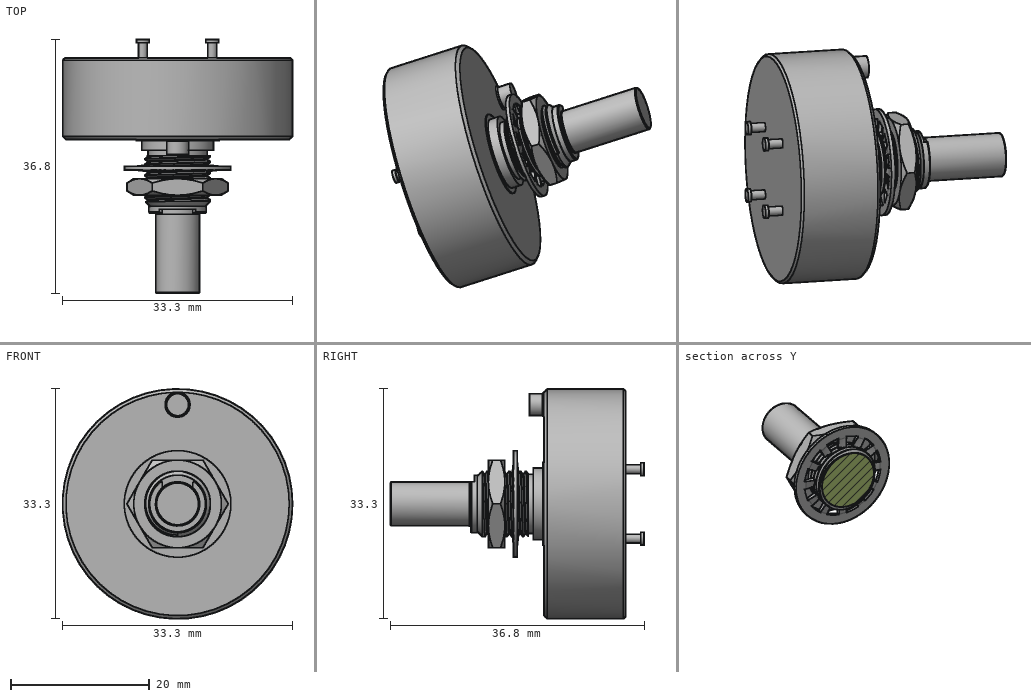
import cadquery as cq
import math


OVERALL_LENGTH = 36.75

HOUSING_RADIUS = 33.32 / 2
HOUSING_DEPTH = 11.85
FRONT_CHAMFER = 0.5
REAR_CHAMFER = 0.35

TERMINAL_OFFSET = 5.02
TERMINAL_LENGTH = 2.65
TERMINAL_RADIUS = 0.66
TERMINAL_HEAD_RADIUS = 0.95
TERMINAL_HEAD_LENGTH = 0.5

PIN_OFFSET = 14.36
PIN_RADIUS = 3.175 / 2
PIN_LENGTH = 2.1
PIN_FLARE = 0.22

SEAT_RADIUS = 6.0
SEAT_TOP = 0.14
COLLAR_RADIUS = 5.22
COLLAR_TOP = 1.56
NECK_RADIUS = 4.31
NECK_TOP = 2.3
THREAD_RADIUS = 9.525 / 2
ROOT_RADIUS = 4.34
CONE_TOP = 9.65
CONE_TOP_RADIUS = 4.02
CONE_BASE = CONE_TOP - (THREAD_RADIUS - CONE_TOP_RADIUS)
NOSE_RADIUS = 4.18
NOSE_TOP = 10.62
NOSE_CHAMFER = 0.15
SLEEVE_RADIUS = 3.2
SLEEVE_TOP = 10.8

THREAD_PITCH = 25.4 / 32
FIRST_CREST = 2.42
GROOVE_TURNS = 9.75
GROOVE_MOUTH_WIDTH = 0.92 * THREAD_PITCH
GROOVE_ROOT_WIDTH = 0.2 * THREAD_PITCH
GROOVE_OVERCUT = 0.1

NOTCH_FLOOR = 10.06
NOTCH_WIDTH = 4.4
NOTCH_SHOULDER = 3.22
NOTCH_CORNER_RADIUS = 0.25

SHAFT_RADIUS = 6.35 / 2
SHAFT_TOP = OVERALL_LENGTH - HOUSING_DEPTH - TERMINAL_LENGTH
SHAFT_CHAMFER = 0.15

WASHER_RADIUS = 7.72
WASHER_HOLE_RADIUS = 6.3
WASHER_BASE = 3.85
WASHER_THICKNESS = 0.56
TOOTH_COUNT = 12
TOOTH_WIDTH = 1.25
TOOTH_TWIST = -17
TOOTH_TIP_RADIUS = 4.62
TOOTH_ROOT_OVERLAP = 0.15

NUT_FLATS = 12.7
NUT_CORNER_RADIUS = NUT_FLATS / math.sqrt(3)
NUT_BASE = 5.66
NUT_THICKNESS = 2.38
NUT_CHAMFER_HEIGHT = 0.62


def cylinder(radius, bottom, top):
    return cq.Workplane("XY").workplane(offset=bottom).circle(radius).extrude(top - bottom)


def make_housing():
    housing = cylinder(HOUSING_RADIUS, -HOUSING_DEPTH, 0)
    return housing.faces(">Z").chamfer(FRONT_CHAMFER).faces("<Z").chamfer(REAR_CHAMFER)


def make_terminals():
    rear = -HOUSING_DEPTH
    end = rear - TERMINAL_LENGTH
    terminal = cylinder(TERMINAL_RADIUS, end, rear)
    terminal = terminal.union(cylinder(TERMINAL_HEAD_RADIUS, end, end + TERMINAL_HEAD_LENGTH))
    terminals = cq.Workplane("XY")
    for x in (-TERMINAL_OFFSET, TERMINAL_OFFSET):
        for y in (-TERMINAL_OFFSET, TERMINAL_OFFSET):
            terminals = terminals.add(terminal.translate((x, y, 0)))
    return terminals.combine()


def make_pin():
    """Pin with a conical flare at its foot; the foot is sunk into the housing."""
    foot = -FRONT_CHAMFER
    flare_radius = PIN_RADIUS + PIN_FLARE
    outline = [
        (0, foot),
        (flare_radius, foot),
        (flare_radius, 0),
        (PIN_RADIUS, PIN_FLARE),
        (PIN_RADIUS, PIN_LENGTH),
        (0, PIN_LENGTH),
    ]
    pin = cq.Workplane("XZ").polyline(outline).close().revolve(360, (0, 0), (0, 1))
    return pin.translate((0, PIN_OFFSET, 0))


def make_thread_groove():
    """Helical V groove, starting around the narrower neck and ending in the lead-in cone."""
    mouth_radius = THREAD_RADIUS + GROOVE_OVERCUT
    first_groove = FIRST_CREST - THREAD_PITCH / 2
    start = first_groove - THREAD_PITCH
    helix = cq.Wire.makeHelix(THREAD_PITCH, GROOVE_TURNS * THREAD_PITCH, ROOT_RADIUS)
    slope = (GROOVE_MOUTH_WIDTH - GROOVE_ROOT_WIDTH) / 2 / (THREAD_RADIUS - ROOT_RADIUS)
    half_root = GROOVE_ROOT_WIDTH / 2
    half_mouth = half_root + slope * (mouth_radius - ROOT_RADIUS)
    profile = [
        (ROOT_RADIUS, -half_root),
        (mouth_radius, -half_mouth),
        (mouth_radius, half_mouth),
        (ROOT_RADIUS, half_root),
    ]
    groove = cq.Workplane("XZ").polyline(profile).close().sweep(cq.Workplane(helix), isFrenet=True)
    return groove.translate((0, 0, start))


def make_notch():
    """Cutter for the notch: it clears the nose down to the sleeve, with rounded outer corners."""
    half_width = NOTCH_WIDTH / 2
    corner = NOTCH_CORNER_RADIUS
    notch = (
        cq.Workplane("XY")
        .workplane(offset=NOTCH_FLOOR)
        .moveTo(-half_width, 0)
        .lineTo(half_width, 0)
        .lineTo(half_width, NOTCH_SHOULDER - corner)
        .radiusArc((half_width + corner, NOTCH_SHOULDER), corner)
        .lineTo(NOSE_RADIUS, NOTCH_SHOULDER)
        .lineTo(NOSE_RADIUS, NOSE_RADIUS)
        .lineTo(-NOSE_RADIUS, NOSE_RADIUS)
        .lineTo(-NOSE_RADIUS, NOTCH_SHOULDER)
        .lineTo(-half_width - corner, NOTCH_SHOULDER)
        .radiusArc((-half_width, NOTCH_SHOULDER - corner), corner)
        .close()
        .extrude(NOSE_TOP - NOTCH_FLOOR)
    )
    return notch.cut(cylinder(SLEEVE_RADIUS, NOTCH_FLOOR, NOSE_TOP))


def make_threaded_barrel():
    """Threaded rod, turned down at its foot to the plain neck and at its end to a lead-in cone."""
    neck_cutter = cylinder(COLLAR_RADIUS, 0, NECK_TOP).cut(cylinder(NECK_RADIUS, 0, NECK_TOP))
    cone_outline = [
        (THREAD_RADIUS, CONE_BASE),
        (CONE_TOP_RADIUS, CONE_TOP),
        (COLLAR_RADIUS, CONE_TOP),
        (COLLAR_RADIUS, CONE_BASE),
    ]
    cone_cutter = cq.Workplane("XZ").polyline(cone_outline).close().revolve(360, (0, 0), (0, 1))
    barrel = cylinder(THREAD_RADIUS, 0, CONE_TOP).cut(make_thread_groove())
    return barrel.cut(neck_cutter).cut(cone_cutter)


def make_nose():
    """Nose ring with its notch, and the sleeve around the shaft."""
    nose = cylinder(NOSE_RADIUS, CONE_TOP, NOSE_TOP).faces(">Z").chamfer(NOSE_CHAMFER)
    return nose.cut(make_notch()).union(cylinder(SLEEVE_RADIUS, CONE_TOP, SLEEVE_TOP))


def make_bushing():
    bushing = make_threaded_barrel().union(make_nose())
    bushing = bushing.union(cylinder(SEAT_RADIUS, 0, SEAT_TOP))
    return bushing.union(cylinder(COLLAR_RADIUS, 0, COLLAR_TOP))


def make_shaft():
    return cylinder(SHAFT_RADIUS, SLEEVE_TOP, SHAFT_TOP).faces(">Z").chamfer(SHAFT_CHAMFER)


def make_tooth():
    """Tooth along +X: flat where it roots in the ring, twisting toward its tip in the thread."""
    sections = cq.Workplane("YZ").workplane(offset=WASHER_HOLE_RADIUS + TOOTH_ROOT_OVERLAP)
    sections = sections.rect(TOOTH_WIDTH, WASHER_THICKNESS)
    sections = sections.workplane(offset=-2 * TOOTH_ROOT_OVERLAP).rect(TOOTH_WIDTH, WASHER_THICKNESS)
    sections = sections.workplane(offset=TOOTH_TIP_RADIUS - WASHER_HOLE_RADIUS + TOOTH_ROOT_OVERLAP)
    sections = sections.transformed(rotate=(0, 0, TOOTH_TWIST)).rect(TOOTH_WIDTH, WASHER_THICKNESS)
    return sections.loft(ruled=True).translate((0, 0, WASHER_BASE + WASHER_THICKNESS / 2))


def make_washer():
    """Flat ring with twisted inner teeth that bite into the thread."""
    top = WASHER_BASE + WASHER_THICKNESS
    washer = cylinder(WASHER_RADIUS, WASHER_BASE, top)
    washer = washer.cut(cylinder(WASHER_HOLE_RADIUS, WASHER_BASE, top))
    tooth = make_tooth()
    for index in range(TOOTH_COUNT):
        washer = washer.union(tooth.rotate((0, 0, 0), (0, 0, 1), index * 360 / TOOTH_COUNT))
    return washer


def make_nut():
    """Hexagon with corners on the X axis, chamfered on both faces down to the width across flats."""
    top = NUT_BASE + NUT_THICKNESS
    hexagon = cq.Workplane("XY").workplane(offset=NUT_BASE).polygon(6, 2 * NUT_CORNER_RADIUS)
    envelope = [
        (0, NUT_BASE),
        (NUT_FLATS / 2, NUT_BASE),
        (NUT_CORNER_RADIUS, NUT_BASE + NUT_CHAMFER_HEIGHT),
        (NUT_CORNER_RADIUS, top - NUT_CHAMFER_HEIGHT),
        (NUT_FLATS / 2, top),
        (0, top),
    ]
    turned = cq.Workplane("XZ").polyline(envelope).close().revolve(360, (0, 0), (0, 1))
    return hexagon.extrude(NUT_THICKNESS).intersect(turned)


part = make_housing().union(make_terminals()).union(make_pin()).union(make_bushing())
part = part.union(make_shaft()).union(make_nut()).union(make_washer())

result = part.rotate((0, 0, 0), (1, 0, 0), 90).solids()